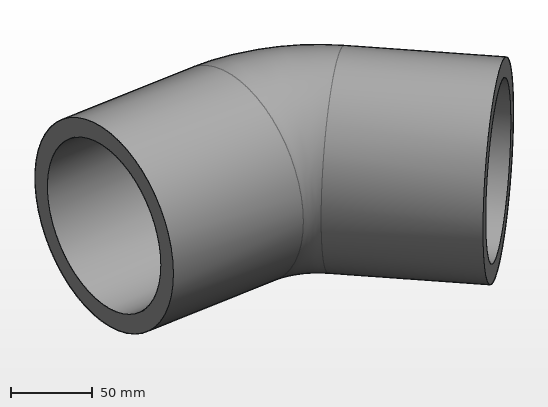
import cadquery as cq
import math

outer_diameter = 140.0
bore_diameter = 114.5
leg_length = 100.0
overall_length = 280.0
bend_angle = 45.0

bend_rad = math.radians(bend_angle)
bend_length = overall_length - leg_length * (1 + math.cos(bend_rad))
bend_radius = bend_length / math.sin(bend_rad) - outer_diameter / 2
bend_end_x = bend_radius * (1 - math.cos(bend_rad))
bend_end_y = leg_length + bend_radius * math.sin(bend_rad)


def pipe_ring(plane):
    """Annular pipe section centred on the given plane."""
    return cq.Workplane(plane).circle(outer_diameter / 2).circle(bore_diameter / 2)


inlet_plane = cq.Plane(origin=(0, 0, 0), xDir=(1, 0, 0), normal=(0, 1, 0))
inlet_leg = pipe_ring(inlet_plane).extrude(leg_length)

bend_start = cq.Plane(origin=(0, leg_length, 0), xDir=(1, 0, 0), normal=(0, 1, 0))
bend = pipe_ring(bend_start).revolve(bend_angle, (bend_radius, 0), (bend_radius, 1))

outlet_plane = cq.Plane(
    origin=(bend_end_x, bend_end_y, 0),
    xDir=(math.cos(bend_rad), -math.sin(bend_rad), 0),
    normal=(math.sin(bend_rad), math.cos(bend_rad), 0),
)
outlet_leg = pipe_ring(outlet_plane).extrude(leg_length)

result = inlet_leg.union(bend).union(outlet_leg)